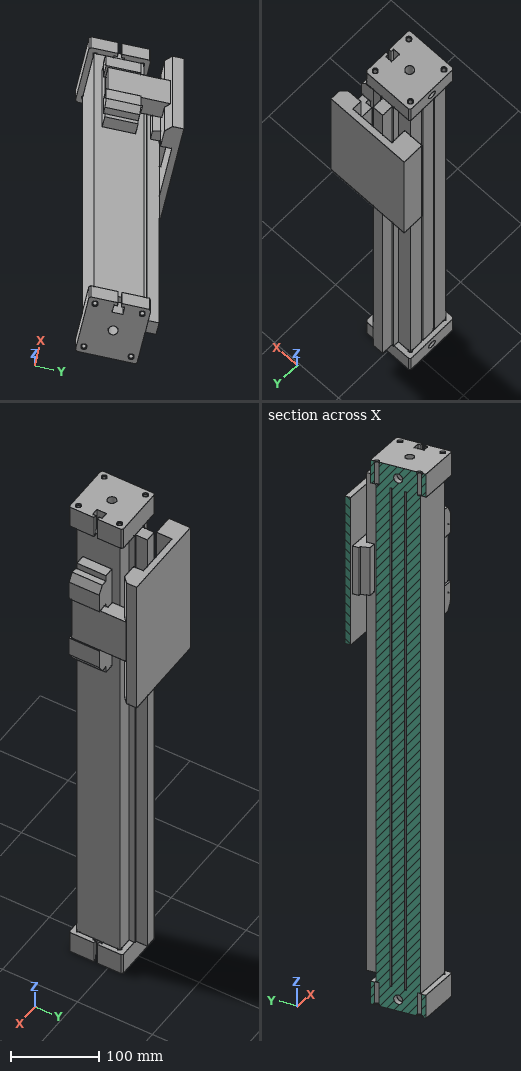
import cadquery as cq


TOTAL_LENGTH = 700.0
CAP_LENGTH = 30.0
CAP_WIDTH = 70.0
CAP_DEPTH = 72.0
CAP_CHAMFER = 2.0
PROFILE_SIZE = 58.0
RAIL_SEAT_WIDTH = 20.0
RAIL_SEAT_Y = 37.0
RAIL_WIDTH = 15.0
RAIL_HEIGHT = 15.0
GROOVE_Y = 9.5
GROOVE_WIDTH = 2.0
GROOVE_DEPTH = 2.0

BORE_DIAMETER = 11.0
PORT_DIAMETER = 11.0
PORT_DEPTH = 15.0
SCREW_HEAD_DIAMETER = 6.65
SCREW_HEAD_DEPTH = 2.0
SCREW_HOLE_DIAMETER = 4.92
SCREW_HOLE_PITCH = 55.0
SLOT_BOTTOM_X = 22.0
SLOT_NECK_X = 31.0
SLOT_WIDTH = 12.5
SLOT_NECK_WIDTH = 4.5

CARRIAGE_WIDTH = 115.0
CARRIAGE_LENGTH = 190.0
CARRIAGE_TOP_GAP = 55.0
CARRIAGE_BACK_Y = 69.0
PLATE_THICKNESS = 8.0
LEG_INNER_X = 30.5
LEFT_LEG_FRONT_Y = 40.0
RIGHT_LEG_FRONT_Y = 48.0
LEG_CHAMFER = 7.5

BLOCK_LENGTH = 61.4
BLOCK_WIDTH = 47.0
BLOCK_FLANGE_THICKNESS = 8.5
BLOCK_WAIST_WIDTH = 41.0
BLOCK_FRONT_WIDTH = 35.0
BLOCK_FRONT_Y = 41.6

BRACKET_LENGTH = 62.0
BRACKET_INNER_X = 36.7
BRACKET_OUTER_X = 55.8
BRACKET_FRONT_Y = 23.5
BAR_INNER_X = 46.0
BAR_FRONT_Y = -19.0
HEAD_BASE_INNER_X = 30.5
HEAD_BASE_OUTER_X = 43.2
HEAD_BASE_LENGTH = 152.0
HEAD_BASE_FRONT_Y = -19.8
HEAD_BACK_Y = 19.0
HEAD_LENGTH = 135.0
HEAD_FRONT_Y = -21.5
HEAD_SLOPE_X = 6.5
HEAD_SLOPE_Z = 10.5
HEAD_HOLE_DIAMETER = 1.0
HEAD_HOLE_DEPTH = 3.0
HEAD_HOLE_X = 52.5
HEAD_HOLE_PITCH = 88.0

PROFILE_LENGTH = TOTAL_LENGTH - 2 * CAP_LENGTH
HALF_PROFILE = PROFILE_SIZE / 2
HALF_CAP = CAP_WIDTH / 2
RAIL_TOP_Y = RAIL_SEAT_Y + RAIL_HEIGHT
HALF_CARRIAGE = CARRIAGE_WIDTH / 2
CARRIAGE_MID_Z = TOTAL_LENGTH - CARRIAGE_TOP_GAP - CARRIAGE_LENGTH / 2
PLATE_FRONT_Y = CARRIAGE_BACK_Y - PLATE_THICKNESS


def box(x_range, y_range, z_range):
    """Box between two limits on each axis."""
    (x0, x1), (y0, y1), (z0, z1) = x_range, y_range, z_range
    return cq.Workplane("XY").box(x1 - x0, y1 - y0, z1 - z0, centered=False).translate((x0, y0, z0))


def span(middle, length):
    """Limits of a length centred on a middle."""
    return (middle - length / 2, middle + length / 2)


def make_cap():
    """End cap from Z = 0 upwards, its outer face on top."""
    z_range = (0, CAP_LENGTH)
    cap = box((-HALF_CAP, HALF_CAP), span(0, CAP_DEPTH), z_range)
    cap = cap.edges("|Z").chamfer(CAP_CHAMFER)

    bore = cq.Workplane("XY").circle(BORE_DIAMETER / 2).extrude(CAP_LENGTH)
    port = (
        cq.Workplane("YZ", origin=(-HALF_CAP, 0, CAP_LENGTH / 2))
        .circle(PORT_DIAMETER / 2)
        .extrude(PORT_DEPTH)
    )
    cap = (
        cap.faces(">Z")
        .workplane(origin=(0, 0, CAP_LENGTH))
        .rect(SCREW_HOLE_PITCH, SCREW_HOLE_PITCH, forConstruction=True)
        .vertices()
        .cboreHole(SCREW_HOLE_DIAMETER, SCREW_HEAD_DIAMETER, SCREW_HEAD_DEPTH)
    )
    slot = box((SLOT_BOTTOM_X, SLOT_NECK_X), span(0, SLOT_WIDTH), z_range)
    slot_neck = box((SLOT_NECK_X, HALF_CAP), span(0, SLOT_NECK_WIDTH), z_range)
    return cap.cut(bore).cut(port).cut(slot).cut(slot_neck)


def make_profile():
    """Profile with its rail seat, rail and side grooves, between the two caps."""
    z_range = (CAP_LENGTH, CAP_LENGTH + PROFILE_LENGTH)
    profile = box(span(0, PROFILE_SIZE), span(0, PROFILE_SIZE), z_range)
    for groove_y in (-GROOVE_Y, GROOVE_Y):
        groove_x = (-HALF_PROFILE, -HALF_PROFILE + GROOVE_DEPTH)
        profile = profile.cut(box(groove_x, span(groove_y, GROOVE_WIDTH), z_range))
    seat = box(span(0, RAIL_SEAT_WIDTH), (HALF_PROFILE, RAIL_SEAT_Y), z_range)
    rail = box(span(0, RAIL_WIDTH), (RAIL_SEAT_Y, RAIL_TOP_Y), z_range)
    return profile.union(seat).union(rail)


def make_axis_body():
    """Profile closed by one cap at each end, the lower cap turned over."""
    upper_cap = make_cap().translate((0, 0, TOTAL_LENGTH - CAP_LENGTH))
    lower_cap = upper_cap.mirror("XY", (0, 0, TOTAL_LENGTH / 2))
    return make_profile().union(upper_cap).union(lower_cap)


def make_saddle():
    """Back plate with a leg down each side, the right leg shorter and chamfered."""
    z_range = span(CARRIAGE_MID_Z, CARRIAGE_LENGTH)
    plate = box(span(0, CARRIAGE_WIDTH), (PLATE_FRONT_Y, CARRIAGE_BACK_Y), z_range)
    left_leg = box((-HALF_CARRIAGE, -LEG_INNER_X), (LEFT_LEG_FRONT_Y, CARRIAGE_BACK_Y), z_range)
    right_leg = box((LEG_INNER_X, HALF_CARRIAGE), (RIGHT_LEG_FRONT_Y, CARRIAGE_BACK_Y), z_range)
    right_leg = right_leg.edges("|Z and >X and <Y").chamfer(LEG_CHAMFER)
    return plate.union(left_leg).union(right_leg)


def make_guide_block():
    """Flanged block with tapered sides, open towards the front for the rail."""
    z_min, z_max = span(CARRIAGE_MID_Z, BLOCK_LENGTH)
    flange_y = PLATE_FRONT_Y - BLOCK_FLANGE_THICKNESS
    flange = box(span(0, BLOCK_WIDTH), (flange_y, PLATE_FRONT_Y), (z_min, z_max))
    taper = (
        cq.Workplane("XY", origin=(0, 0, z_min))
        .polyline([
            (-BLOCK_WAIST_WIDTH / 2, flange_y),
            (BLOCK_WAIST_WIDTH / 2, flange_y),
            (BLOCK_FRONT_WIDTH / 2, BLOCK_FRONT_Y),
            (-BLOCK_FRONT_WIDTH / 2, BLOCK_FRONT_Y),
        ])
        .close()
        .extrude(BLOCK_LENGTH)
    )
    rail_space = box(span(0, RAIL_WIDTH), (BLOCK_FRONT_Y, RAIL_TOP_Y), (z_min, z_max))
    return flange.union(taper).cut(rail_space)


def make_bracket():
    """Bracket under the right leg, with a thinner bar that runs forward through the read head."""
    z_range = span(CARRIAGE_MID_Z, BRACKET_LENGTH)
    bracket = box((BRACKET_INNER_X, BRACKET_OUTER_X), (BRACKET_FRONT_Y, PLATE_FRONT_Y), z_range)
    bar = box((BAR_INNER_X, BRACKET_OUTER_X), (BAR_FRONT_Y, BRACKET_FRONT_Y), z_range)
    return bracket.union(bar)


def make_read_head():
    """Base strip beside the profile, with a chamfered block at each end of the bracket bar."""
    base = box(
        (HEAD_BASE_INNER_X, HEAD_BASE_OUTER_X),
        (HEAD_BASE_FRONT_Y, HEAD_BACK_Y),
        span(CARRIAGE_MID_Z, HEAD_BASE_LENGTH),
    )
    head_x = (HEAD_BASE_OUTER_X, HALF_CARRIAGE)
    head_y = (HEAD_FRONT_Y, HEAD_BACK_Y)
    half_length = HEAD_LENGTH / 2
    slope_start_x = HALF_CARRIAGE - HEAD_SLOPE_X
    slope_end_z = half_length - HEAD_SLOPE_Z
    head = (
        cq.Workplane("XZ", origin=(0, HEAD_BACK_Y, CARRIAGE_MID_Z))
        .polyline([
            (HEAD_BASE_OUTER_X, -half_length),
            (slope_start_x, -half_length),
            (HALF_CARRIAGE, -slope_end_z),
            (HALF_CARRIAGE, slope_end_z),
            (slope_start_x, half_length),
            (HEAD_BASE_OUTER_X, half_length),
        ])
        .close()
        .extrude(HEAD_BACK_Y - HEAD_FRONT_Y)
    )
    head = head.cut(box(head_x, head_y, span(CARRIAGE_MID_Z, BRACKET_LENGTH)))
    for hole_z in span(CARRIAGE_MID_Z, HEAD_HOLE_PITCH):
        hole = (
            cq.Workplane("XZ", origin=(HEAD_HOLE_X, HEAD_FRONT_Y, hole_z))
            .circle(HEAD_HOLE_DIAMETER / 2)
            .extrude(-HEAD_HOLE_DEPTH)
        )
        head = head.cut(hole)
    return base.union(head)


def make_carriage():
    """Saddle, guide block, bracket and read head as one rigid carriage."""
    carriage = make_saddle().union(make_guide_block())
    return carriage.union(make_bracket()).union(make_read_head())


axis_body = make_axis_body()
carriage = make_carriage()

result = cq.Compound.makeCompound([axis_body.val(), carriage.val()])